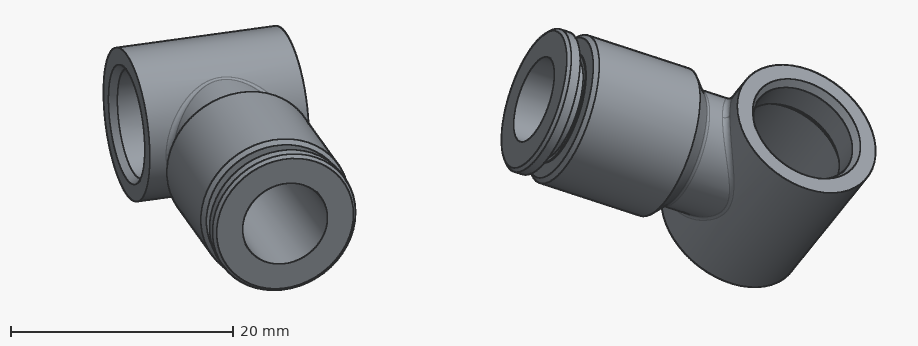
import cadquery as cq
import math

ring_radius = 7.0
ring_length = 15.0
land_radius = 5.0
chamber_radius = 5.45
mouth_depth = 0.7
land_inner_end = 4.2
relief_length = 0.65

neck_radius = 5.5
body_radius = 7.0
shoulder_end = 10.5
shoulder_start = shoulder_end - (body_radius - neck_radius)
body_end = 21.1
body_chamfer = 0.4
lip_radius = 5.2
lip_end = 21.2
collar_radius = 4.8
flange_radius = 6.75
flange_start = 22.5
flange_end = 23.7
flange_chamfer = 0.3
collar_fillet = 0.12

saddle_fillet = 0.5
shoulder_fillet = 0.5
passage_radius = 3.25
socket_radius = 4.0
socket_start = 7.0


def make_branch():
    """Neck, body and release collar as one turned solid starting on the ring axis."""
    end_angle = math.radians(45)
    mid_angle = end_angle / 2
    tangent_length = shoulder_fillet * math.tan(mid_angle)
    fillet_start = shoulder_start - tangent_length
    fillet_centre_radius = neck_radius + shoulder_fillet

    def fillet_point(angle):
        return (
            fillet_start + shoulder_fillet * math.sin(angle),
            fillet_centre_radius - shoulder_fillet * math.cos(angle),
        )

    diagonal = collar_fillet * math.sqrt(0.5)
    collar_blend_middle = (
        flange_start - collar_fillet + diagonal,
        collar_radius + collar_fillet - diagonal,
    )

    profile = (
        cq.Workplane("XY")
        .moveTo(0, 0)
        .lineTo(0, neck_radius)
        .lineTo(fillet_start, neck_radius)
        .threePointArc(fillet_point(mid_angle), fillet_point(end_angle))
        .lineTo(shoulder_end, body_radius)
        .lineTo(body_end - body_chamfer, body_radius)
        .lineTo(body_end, body_radius - body_chamfer)
        .lineTo(body_end, lip_radius)
        .lineTo(lip_end, lip_radius)
        .lineTo(lip_end, collar_radius)
        .lineTo(flange_start - collar_fillet, collar_radius)
        .threePointArc(collar_blend_middle, (flange_start, collar_radius + collar_fillet))
        .lineTo(flange_start, flange_radius)
        .lineTo(flange_end - flange_chamfer, flange_radius)
        .lineTo(flange_end, flange_radius - flange_chamfer)
        .lineTo(flange_end, 0)
        .close()
    )
    return profile.revolve(360, (0, 0, 0), (1, 0, 0))


def make_ring():
    """Solid outer cylinder of the banjo ring."""
    return cq.Workplane("XZ").circle(ring_radius).extrude(ring_length / 2, both=True)


def make_bore():
    """Ring bore: tapered mouths, a land at each end and a wider central chamber."""
    half_length = ring_length / 2
    chamber_end = land_inner_end - relief_length
    profile = (
        cq.Workplane("XY")
        .moveTo(0, -half_length)
        .lineTo(chamber_radius, -half_length)
        .lineTo(land_radius, -half_length + mouth_depth)
        .lineTo(land_radius, -land_inner_end)
        .lineTo(chamber_radius, -chamber_end)
        .lineTo(chamber_radius, chamber_end)
        .lineTo(land_radius, land_inner_end)
        .lineTo(land_radius, half_length - mouth_depth)
        .lineTo(chamber_radius, half_length)
        .lineTo(0, half_length)
        .close()
    )
    return profile.revolve(360, (0, 0, 0), (0, 1, 0))


def add_saddle_fillet(body):
    """Blend the curved edge where the neck meets the ring."""
    saddle_zone = cq.selectors.BoxSelector(
        (0, -body_radius, -body_radius),
        (ring_radius + saddle_fillet, body_radius, body_radius),
        boundingbox=True,
    )
    return body.edges(saddle_zone).fillet(saddle_fillet)


def make_passage():
    """Flow passage from the bore, opening into the wider tube socket."""
    passage = cq.Workplane("YZ").circle(passage_radius).extrude(socket_start)
    socket_length = flange_end - socket_start
    socket = (
        cq.Workplane("YZ")
        .workplane(offset=socket_start)
        .circle(socket_radius)
        .extrude(socket_length)
    )
    return passage.union(socket)


outer = add_saddle_fillet(make_ring().union(make_branch()))
result = outer.cut(make_bore()).cut(make_passage())